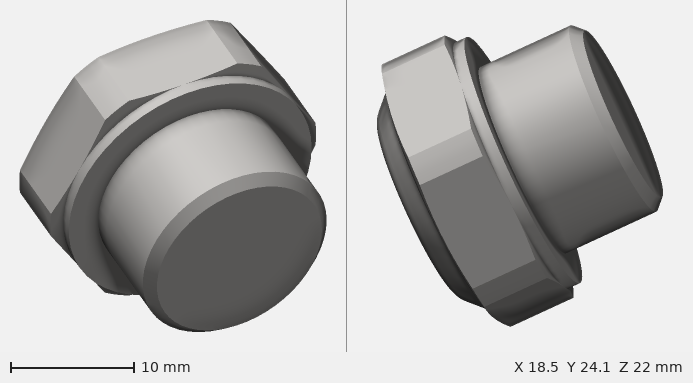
import cadquery as cq
import math


across_flats = 22.0
corner_diameter = 24.09
hex_front = 2.0
hex_back = 8.5
corner_bevel_angle = 15.0

bevel_foot_radius = 10.0
outer_round = 2.0
recess_radius = 6.0
recess_round = 1.5

collar_diameter = across_flats
collar_length = 1.0
shank_diameter = 16.66
shank_length = 9.0
shank_chamfer = 0.856

collar_end = hex_back + collar_length


def revolve_about_x(profile):
    """Revolve a closed (x, radius) profile a full turn about the X axis."""
    return profile.close().revolve(360, (0, 0, 0), (1, 0, 0))


def make_hex_head():
    """Hexagon with two flats facing +Z and -Z, turned and bevelled at both ends."""
    corner_radius = corner_diameter / 2
    bevel_slope = math.tan(math.radians(corner_bevel_angle))
    front_bevel = (corner_radius - bevel_foot_radius) * bevel_slope
    back_bevel = (corner_radius - across_flats / 2) * bevel_slope
    across_corners = across_flats / math.cos(math.radians(30))

    prism = (
        cq.Workplane("YZ", origin=(hex_front, 0, 0))
        .polygon(6, across_corners)
        .extrude(hex_back - hex_front)
    )
    envelope = revolve_about_x(
        cq.Workplane("XY")
        .moveTo(hex_front, 0)
        .lineTo(hex_front, bevel_foot_radius)
        .lineTo(hex_front + front_bevel, corner_radius)
        .lineTo(hex_back - back_bevel, corner_radius)
        .lineTo(hex_back, across_flats / 2)
        .lineTo(hex_back, 0)
    )
    return prism.intersect(envelope)


def make_rim():
    """45 degree cone in front of the hexagon, rounded over into the rim of the recess."""
    crest_radius = recess_radius + recess_round
    diagonal = math.sqrt(0.5)

    cone_offset = (bevel_foot_radius - hex_front - crest_radius) * diagonal
    along_cone = math.sqrt(outer_round**2 - (outer_round - cone_offset) ** 2)
    touch_x = (along_cone - cone_offset) * diagonal
    touch_radius = crest_radius + (along_cone + cone_offset) * diagonal
    touch_angle = 0.75 * math.pi
    centre_x = touch_x - outer_round * math.cos(touch_angle)
    centre_radius = touch_radius - outer_round * math.sin(touch_angle)
    crest_angle = math.atan2(crest_radius - centre_radius, -centre_x) % (2 * math.pi)
    mid_angle = (touch_angle + crest_angle) / 2
    outer_mid = (
        centre_x + outer_round * math.cos(mid_angle),
        centre_radius + outer_round * math.sin(mid_angle),
    )

    inner_mid = (
        recess_round * (1 - diagonal),
        crest_radius - recess_round * diagonal,
    )

    return revolve_about_x(
        cq.Workplane("XY")
        .moveTo(hex_front, 0)
        .lineTo(hex_front, bevel_foot_radius)
        .lineTo(touch_x, touch_radius)
        .threePointArc(outer_mid, (0, crest_radius))
        .threePointArc(inner_mid, (recess_round, recess_radius))
        .lineTo(recess_round, 0)
    )


def make_collar():
    """Round sealing collar behind the hexagon."""
    return (
        cq.Workplane("YZ", origin=(hex_back, 0, 0))
        .circle(collar_diameter / 2)
        .extrude(collar_length)
    )


def make_shank():
    """Plain cylindrical shank with a chamfered end."""
    return (
        cq.Workplane("YZ", origin=(collar_end, 0, 0))
        .circle(shank_diameter / 2)
        .extrude(shank_length)
        .faces(">X")
        .chamfer(shank_chamfer)
    )


result = make_hex_head().union(make_rim()).union(make_collar()).union(make_shank())